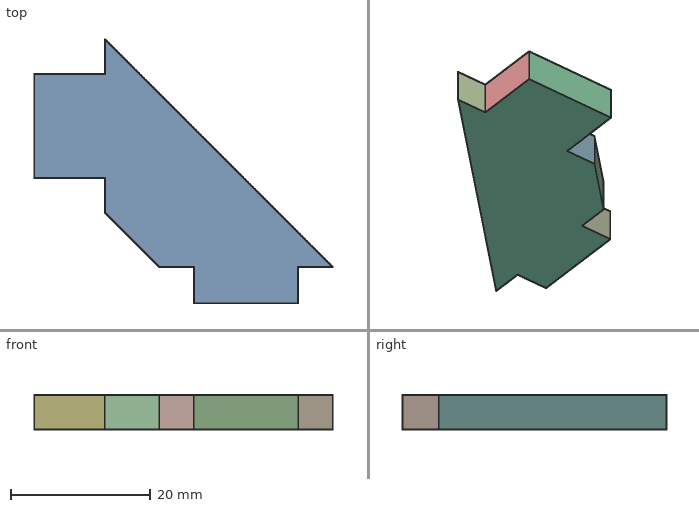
import cadquery as cq

thickness = 5.0
leg = 32.8
tab_width = 15.0
tip_margin = 5.0
chamfer_margin = 5.0
left_tab_length = 10.2
bottom_tab_length = 5.2

tab_end = leg - tip_margin
tab_start = tab_end - tab_width
corner_cut = tab_start - chamfer_margin


def make_body():
    """Right-angled triangular plate with its square corner cut off at 45 degrees."""
    outline = [(corner_cut, 0), (leg, 0), (0, leg), (0, corner_cut)]
    return cq.Workplane("XY").polyline(outline).close().extrude(thickness)


def make_left_tab():
    """Rectangular tab reaching out in -X from the leg along Y."""
    return (
        cq.Workplane("XY")
        .box(left_tab_length, tab_width, thickness, centered=False)
        .translate((-left_tab_length, tab_start, 0))
    )


def make_bottom_tab():
    """Rectangular tab reaching out in -Y from the leg along X."""
    return (
        cq.Workplane("XY")
        .box(tab_width, bottom_tab_length, thickness, centered=False)
        .translate((tab_start, -bottom_tab_length, 0))
    )


result = make_body().union(make_left_tab()).union(make_bottom_tab())